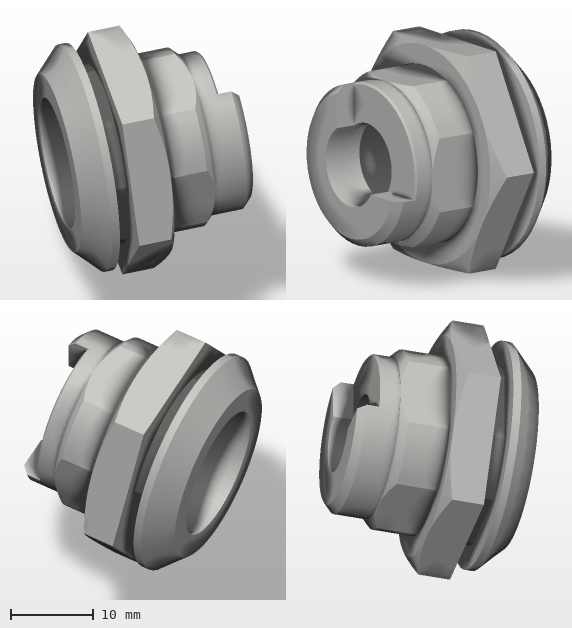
import cadquery as cq
import math


rim_start = 3.0
flange_back = 4.0
shank_end = 17.0
bushing_length = 22.0

front_face_radius = 11.0
flange_radius = 14.0
shank_radius = 11.0
shank_across_flats = 20.02
shank_chamfer = shank_radius - shank_across_flats / 2
collar_radius = 9.9
collar_chamfer = 1.0
bore_radius = 5.0
counterbore_radius = 8.08
counterbore_depth = shank_end

notch_depth = 2.55
notch_offset = 2.65
notch_rim_chamfer = 0.25

nut_corner_diameter = 31.18
nut_across_flats = nut_corner_diameter * math.cos(math.pi / 6)
nut_front = 6.0
nut_thickness = 5.0
nut_chamfer_height = 1.03


def cylinder(radius, start, end):
    """Cylinder about the Y axis between two stations."""
    return cq.Workplane("XZ", origin=(0, start, 0)).circle(radius).extrude(start - end)


def revolved(profile):
    """Revolve a closed outline of (radius, station) points about the Y axis."""
    return cq.Workplane("XY").polyline(profile).close().revolve(360, (0, 0, 0), (0, 1, 0))


def make_flange():
    return revolved([
        (0, 0),
        (front_face_radius, 0),
        (flange_radius, rim_start),
        (flange_radius, flange_back),
        (0, flange_back),
    ])


def make_shank():
    """Round shank with four flats and a chamfered rear end."""
    round_shank = cylinder(shank_radius, flange_back, shank_end).faces(">Y").chamfer(shank_chamfer)
    square = cq.Workplane("XY").box(
        shank_across_flats, shank_end, shank_across_flats, centered=(True, False, True)
    )
    return round_shank.intersect(square)


def make_collar():
    """Chamfered rear collar, notched over the -X, +Z corner."""
    notch_floor = bushing_length - notch_depth
    full_collar = cylinder(collar_radius, shank_end, bushing_length).faces(">Y").chamfer(collar_chamfer)
    low_collar = cylinder(collar_radius, shank_end, notch_floor).faces(">Y").chamfer(notch_rim_chamfer)
    notch_size = collar_radius + notch_offset
    notch = (
        cq.Workplane("XY")
        .box(notch_size, notch_depth + notch_rim_chamfer, notch_size, centered=False)
        .translate((-collar_radius, notch_floor - notch_rim_chamfer, -notch_offset))
    )
    return full_collar.cut(notch).union(low_collar)


def make_bushing():
    bore = cylinder(bore_radius, 0, bushing_length)
    counterbore = cylinder(counterbore_radius, 0, counterbore_depth)
    return make_flange().union(make_shank()).union(make_collar()).cut(bore).cut(counterbore)


def make_nut():
    """Hexagonal nut with its rear corners chamfered, bored to fit the shank."""
    nut_back = nut_front + nut_thickness
    corner_radius = nut_corner_diameter / 2
    hexagon = (
        cq.Workplane("XZ", origin=(0, nut_front, 0))
        .polygon(6, nut_corner_diameter)
        .extrude(-nut_thickness)
    )
    chamfer_envelope = revolved([
        (0, nut_front),
        (corner_radius, nut_front),
        (corner_radius, nut_back - nut_chamfer_height),
        (nut_across_flats / 2, nut_back),
        (0, nut_back),
    ])
    return hexagon.intersect(chamfer_envelope).cut(cylinder(shank_radius, nut_front, nut_back))


bushing = make_bushing()
nut = make_nut()

result = cq.Compound.makeCompound([bushing.val(), nut.val()])